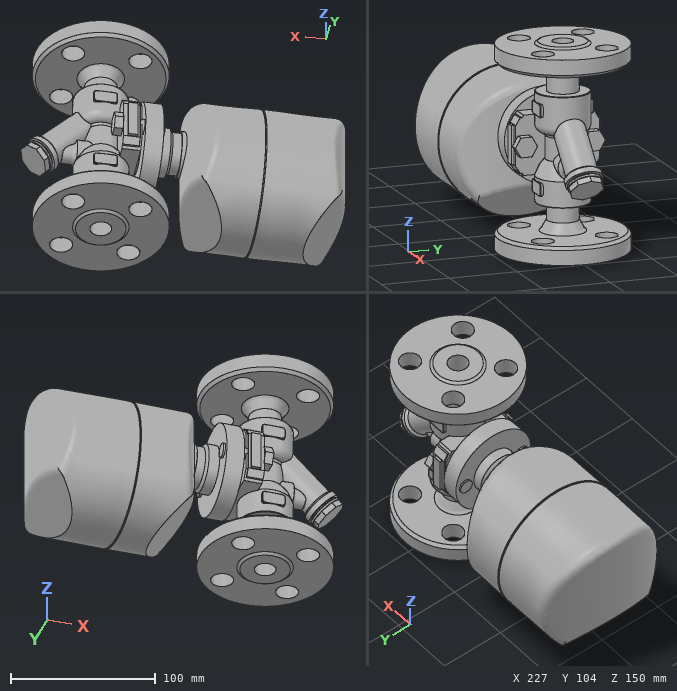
import cadquery as cq
import math


face_to_face = 150.0
flange_dia = 95.0
flange_thickness = 13.2
flange_chamfer = 2.3
raised_face_height = 1.5
raised_face_base_dia = 39.0
raised_face_dia = 35.0
bolt_hole_dia = 16.0
bolt_hole_circle_dia = 66.8
bolt_hole_count = 4
bolt_hole_start_angle = 45.0
bore_dia = 15.0
bore_depth = 34.0
hub_base_dia = 33.0
hub_mid_dia = 30.0
hub_base_height = 1.5
hub_cone_height = 6.4
pipe_dia = 23.0
pipe_overlap = 2.3

body_dia = 39.0
body_half_height = 39.7
body_edge_chamfer = 0.5
waist_dia = 25.0
upper_barrel_bottom = 16.5
waist_top = 8.2
waist_bottom = -8.6
shoulder_drop = 6.4
lower_cone_top = -13.6
lower_cone_dia = 33.0
lower_barrel_top = -21.0
pad_width = 16.8
pad_height = 9.8
pad_corner_radius = 2.3
pad_edge_chamfer = 0.5
pad_distance = 28.2
pad_face_distance = 19.8

branch_angle = 45.0
branch_axis_height = 27.0
branch_dia = 23.0
branch_cap_dia = 27.0
branch_plug_dia = 25.0
branch_plug_flats = 23.0
branch_start = -13.6
cap_start = 35.2
cap_cone_length = 1.5
cap_end = 40.9
cap_gap_end = 42.0
plug_rim_end = 43.8
plug_end = 48.1
plug_sides = 8
neck_dia = 14.5
neck_bottom = -18.0
neck_end = 27.7
neck_flare_radius = 3.0

stem_dia = 30.0
stem_flare_dia = 32.7
stem_flare_end = -54.5
stem_end = -48.1
stem_collar_start = -46.3
collar_dia = 35.0
disc_dia = 67.0
disc_left = -38.5
disc_right = -25.7
plate_left = -23.6
plate_right = -10.5
plate_half_width = 30.0
plate_half_height = 21.5
plate_top_half_width = 25.0
plate_side_half_height = 14.5
frame_left = -22.3
frame_half_width = 30.9
frame_half_height = 19.8
frame_top_half_width = 27.7
strip_left = -20.5
strip_right = -13.6
strip_half_height = 14.0
strip_rise = 2.0
stud_dia = 10.5
stud_offset = 25.2
stud_protrusion = 1.4
nut_sides = 6
nut_corners = 16.3
nut_height = 6.1

actuator_left = -170.7
actuator_right = -56.3
actuator_dia = 104.0
actuator_end_dia = 103.0
actuator_axis_height = -18.6
end_sag = 15.5
end_corner_cut = 28.0
end_fillet = 6.8
cover_seam = -119.7
groove_center = -107.2
groove_width = 1.0
groove_depth = 0.57


def revolve_about_z(outline):
    """Solid of revolution about Z from (radius, height) points."""
    return cq.Workplane("XZ").polyline(outline).close().revolve(360, (0, 0, 0), (0, 1, 0))


def rod(plane, dia, start, end):
    """Cylinder along the normal of a plane, between two stations on it."""
    return cq.Workplane(plane).workplane(offset=start).circle(dia / 2).extrude(end - start)


def frustum(plane, start_dia, end_dia, start, end):
    """Cone section along the normal of a plane, between two stations on it."""
    return (
        cq.Workplane(plane).workplane(offset=start).circle(start_dia / 2)
        .workplane(offset=end - start).circle(end_dia / 2).loft()
    )


def mirrored_pair(solid, plane):
    """A solid together with its mirror image in a plane through the origin."""
    return solid.union(solid.mirror(plane))


def pipe_end():
    """Upper weld-neck flange with its neck pipe and bolt holes."""
    top = face_to_face / 2
    seat = top - raised_face_height
    back = seat - flange_thickness
    hub_mid = back - hub_base_height
    hub_end = hub_mid - hub_cone_height
    end = revolve_about_z([
        (0, body_half_height - pipe_overlap),
        (pipe_dia / 2, body_half_height - pipe_overlap),
        (pipe_dia / 2, hub_end),
        (hub_mid_dia / 2, hub_mid),
        (hub_base_dia / 2, back),
        (flange_dia / 2 - flange_chamfer, back),
        (flange_dia / 2, back + flange_chamfer),
        (flange_dia / 2, seat),
        (raised_face_base_dia / 2, seat),
        (raised_face_dia / 2, top),
        (0, top),
    ])
    holes = (
        cq.Workplane("XY").workplane(offset=back)
        .polarArray(bolt_hole_circle_dia / 2, bolt_hole_start_angle, 360, bolt_hole_count)
        .circle(bolt_hole_dia / 2).extrude(flange_thickness)
    )
    return end.cut(holes)


def valve_body():
    """Two barrels joined by a narrow waist with raised marking pads on both sides."""
    radius = body_dia / 2
    waist = waist_dia / 2
    body = (
        cq.Workplane("XZ")
        .moveTo(0, -body_half_height)
        .lineTo(radius, -body_half_height)
        .lineTo(radius, lower_barrel_top)
        .lineTo(lower_cone_dia / 2, lower_cone_top)
        .lineTo(waist, waist_bottom)
        .lineTo(waist, waist_top)
        .lineTo(radius - shoulder_drop, upper_barrel_bottom - shoulder_drop)
        .radiusArc((radius, upper_barrel_bottom), -shoulder_drop)
        .lineTo(radius, body_half_height)
        .lineTo(0, body_half_height)
        .close().revolve(360, (0, 0, 0), (0, 1, 0))
        .faces("<Z or >Z").edges().chamfer(body_edge_chamfer)
    )
    pads = (
        cq.Workplane("XZ").pushPoints([(0, pad_distance), (0, -pad_distance)])
        .rect(pad_width, pad_height).extrude(pad_face_distance, both=True)
        .edges("|Y").fillet(pad_corner_radius)
        .faces("<Y or >Y").edges().chamfer(pad_edge_chamfer)
    )
    return body.union(pads)


def strainer_branch():
    """Sloped branch with a screwed cap, an octagonal plug and a neck to the lower barrel."""
    slope = math.radians(branch_angle)
    foot = branch_axis_height / 2
    axis = cq.Plane(
        origin=(foot, 0, foot),
        xDir=(0, 1, 0),
        normal=(math.cos(slope), 0, -math.sin(slope)),
    )
    branch = rod(axis, branch_dia, branch_start, cap_start)
    cone = frustum(axis, branch_dia, branch_cap_dia, cap_start, cap_start + cap_cone_length)
    cap = rod(axis, branch_cap_dia, cap_start + cap_cone_length, cap_end)
    gap = rod(axis, branch_plug_flats, cap_end, cap_gap_end)
    rim = rod(axis, branch_plug_dia, cap_gap_end, plug_rim_end)
    plug = (
        cq.Workplane(axis).workplane(offset=plug_rim_end)
        .transformed(rotate=(0, 0, 180 / plug_sides))
        .polygon(plug_sides, branch_plug_flats, circumscribed=True).extrude(plug_end - plug_rim_end)
    )
    flare_start = body_dia / 2 - neck_flare_radius / 2
    neck_radius = neck_dia / 2
    neck = (
        cq.Workplane("XY")
        .lineTo(0, neck_radius + neck_flare_radius)
        .lineTo(flare_start, neck_radius + neck_flare_radius)
        .radiusArc((flare_start + neck_flare_radius, neck_radius), -neck_flare_radius)
        .lineTo(neck_end, neck_radius)
        .lineTo(neck_end, 0)
        .close().revolve(360, (0, 0, 0), (1, 0, 0))
        .translate((0, 0, neck_bottom + neck_radius))
    )
    for piece in (cone, cap, gap, rim, plug, neck):
        branch = branch.union(piece)
    return branch


def eight_sided_block(left, top_half_width, half_width, half_height):
    """Prism along X up to the plate's right face, symmetric in Y and Z, with four sloped corners."""
    quarter = [(top_half_width, half_height), (half_width, plate_side_half_height)]
    half = quarter + [(y, -z) for y, z in reversed(quarter)]
    outline = half + [(-y, z) for y, z in reversed(half)]
    return cq.Workplane("YZ").workplane(offset=left).polyline(outline).close().extrude(plate_right - left)


def bonnet_plate():
    """Clamping plate with a raised side frame and a raised strip on each side."""
    plate = eight_sided_block(plate_left, plate_top_half_width, plate_half_width, plate_half_height)
    frame = eight_sided_block(frame_left, frame_top_half_width, frame_half_width, frame_half_height)
    strips = cq.Workplane("XY").box(
        strip_right - strip_left,
        2 * (frame_half_width + strip_rise),
        2 * strip_half_height,
    ).translate(((strip_left + strip_right) / 2, 0, 0))
    return plate.union(frame).union(strips)


def bonnet_joint():
    """Stem, collar, round disc, plate and the two studs with nuts that clamp them."""
    joint = rod("YZ", stem_dia, actuator_right - end_fillet, stem_collar_start)
    joint = joint.union(rod("YZ", stem_flare_dia, actuator_right - end_fillet, stem_flare_end))
    joint = joint.union(frustum("YZ", stem_dia, collar_dia, stem_end, stem_collar_start))
    joint = joint.union(rod("YZ", collar_dia, stem_collar_start, plate_left))
    joint = joint.union(rod("YZ", disc_dia, disc_left, disc_right))
    joint = joint.union(bonnet_plate())
    stud = rod("YZ", stud_dia, disc_left - stud_protrusion, plate_right)
    nut = cq.Workplane("YZ").workplane(offset=plate_right).polygon(nut_sides, nut_corners).extrude(nut_height)
    fastener = stud.union(nut).translate((0, stud_offset, 0))
    return joint.union(mirrored_pair(fastener, "XZ"))


def actuator():
    """Round housing with bowed ends, sloped lower corners, rounded rims and a seam groove."""
    radius = actuator_dia / 2
    end_radius = actuator_end_dia / 2
    housing = (
        cq.Workplane("XY").polyline([
            (actuator_left, 0),
            (actuator_left, end_radius),
            (cover_seam, radius),
            (groove_center, radius),
            (actuator_right, end_radius),
            (actuator_right, 0),
        ]).close().revolve(360, (0, 0, 0), (1, 0, 0))
    )
    bowed = (
        cq.Workplane("XY").workplane(offset=-radius)
        .moveTo(actuator_left + end_sag, radius)
        .threePointArc((actuator_left, 0), (actuator_left + end_sag, -radius))
        .lineTo(actuator_right - end_sag, -radius)
        .threePointArc((actuator_right, 0), (actuator_right - end_sag, radius))
        .close().extrude(actuator_dia)
    )
    corner_free = (
        cq.Workplane("XZ").polyline([
            (actuator_left, radius),
            (actuator_left, end_corner_cut - radius),
            (actuator_left + end_corner_cut, -radius),
            (actuator_right - end_corner_cut, -radius),
            (actuator_right, end_corner_cut - radius),
            (actuator_right, radius),
        ]).close().extrude(radius, both=True)
    )
    housing = housing.intersect(bowed).intersect(corner_free)
    housing = housing.faces("<X or >X").edges().fillet(end_fillet)
    groove = (
        rod("YZ", actuator_dia, groove_center - groove_width / 2, groove_center + groove_width / 2)
        .cut(rod("YZ", actuator_dia - 2 * groove_depth, actuator_left, actuator_right))
    )
    return housing.cut(groove).translate((0, 0, actuator_axis_height))


def bores():
    """Blind flow bore entering each flange face."""
    upper = rod("XY", bore_dia, face_to_face / 2 - bore_depth, face_to_face / 2)
    return mirrored_pair(upper, "XY")


result = (
    valve_body()
    .union(mirrored_pair(pipe_end(), "XY"))
    .union(strainer_branch())
    .union(bonnet_joint())
    .union(actuator())
    .cut(bores())
)